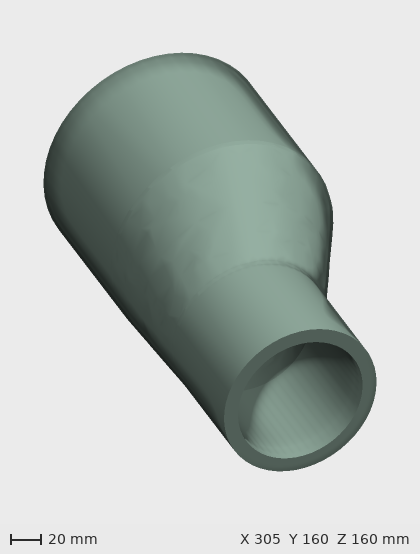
import math

import cadquery as cq

length = 305.0
large_outer_diameter = 160.0
large_bore_diameter = 130.8
small_outer_diameter = 110.0
small_bore_diameter = 90.0
large_pipe_length = 115.3
small_pipe_length = 86.5
bend_radius = 9.0
bend_steps = 4

taper_length = length - large_pipe_length - small_pipe_length
small_pipe_start = large_pipe_length + taper_length
flush_y = -large_outer_diameter / 2
small_axis_y = flush_y + small_outer_diameter / 2

taper_angle = math.atan2(large_outer_diameter - small_outer_diameter, taper_length)
bend_tangent = bend_radius * math.tan(taper_angle / 2)


def loft_circles(sections, ruled):
    """Solid through circles across X, each given as (x, axis y, diameter)."""
    wires = [
        cq.Wire.makeCircle(diameter / 2, cq.Vector(x, axis_y, 0), cq.Vector(1, 0, 0))
        for x, axis_y, diameter in sections
    ]
    return cq.Workplane(cq.Solid.makeLoft(wires, ruled))


def flush_section(x, diameter):
    """Circle that touches the flush -Y line."""
    return (x, flush_y + diameter / 2, diameter)


def bend_sections(start_x, start_diameter, start_angle, turn):
    """Circles whose +Y points follow an arc; turn is +1 to steepen the drop, -1 to level it."""
    sections = []
    for step in range(bend_steps + 1):
        angle = start_angle + turn * taper_angle * step / bend_steps
        x = start_x + turn * bend_radius * (math.sin(angle) - math.sin(start_angle))
        drop = turn * bend_radius * (math.cos(start_angle) - math.cos(angle))
        sections.append(flush_section(x, start_diameter - drop))
    return sections


def outer_body():
    """Pipes and taper with a rounded bend at each end of the taper."""
    large_bend = bend_sections(large_pipe_length - bend_tangent, large_outer_diameter, 0, 1)
    small_bend = bend_sections(
        small_pipe_start - bend_tangent * math.cos(taper_angle),
        small_outer_diameter + bend_tangent * math.sin(taper_angle),
        taper_angle,
        -1,
    )
    large_pipe = loft_circles([flush_section(0, large_outer_diameter), large_bend[0]], True)
    taper = loft_circles([large_bend[-1], small_bend[0]], True)
    small_pipe = loft_circles([small_bend[-1], flush_section(length, small_outer_diameter)], True)
    return (
        large_pipe.union(loft_circles(large_bend, False))
        .union(taper)
        .union(loft_circles(small_bend, False))
        .union(small_pipe)
    )


def bore():
    """Passage concentric with each pipe, joined by a straight oblique taper."""
    return loft_circles(
        [
            (0, 0, large_bore_diameter),
            (large_pipe_length, 0, large_bore_diameter),
            (small_pipe_start, small_axis_y, small_bore_diameter),
            (length, small_axis_y, small_bore_diameter),
        ],
        True,
    )


result = outer_body().cut(bore())